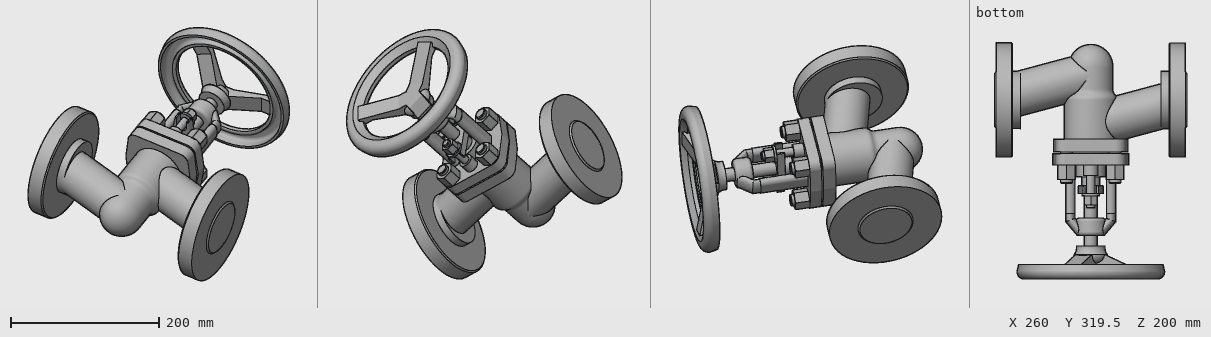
import cadquery as cq
import math


overall_height = 319.5

face_to_face = 260.0
flange_radius = 77.3
flange_thickness = 22.5
flange_edge_chamfer = 2.0
raised_face_height = 2.2
raised_face_base_radius = 38.0
raised_face_top_radius = 35.8
collar_radius = 39.0
collar_length = 11.0
pipe_radius = 30.0
pipe_tilt = math.radians(15)
pipe_offset = 34.5

body_radius = 36.0
body_bottom = 0
bowl_radius = pipe_radius
bowl_top = -13.7
bowl_bottom = -75.0
bowl_centre = bowl_bottom + bowl_radius

square_half = 47.0
square_corner = 13.0
body_flange_bottom = 53.0
body_flange_top = 70.3
body_flange_peak = 50.5
bonnet_flange_bottom = 72.5
bonnet_flange_top = 88.2
bonnet_flange_peak = 51.5
gasket_radius = body_radius

stud_pitch = 65.8
stud_radius = 8.0
stud_top = 112.8
flange_nut_flats = 24.0
flange_nut_height = 19.5
stud_end_chamfer = 1.3

box_radius = 20.0
box_top = 103.8
gland_radius = 12.5
gland_stud_z = 28.8
gland_stud_radius = 5.8
gland_stud_top = 146.3
gland_boss_radius = 9.5
gland_boss_top = 102.2
bridge_bottom = 115.5
bridge_top = 126.5
bridge_length = 78.5
bridge_width = 34.0
bridge_slot_width = 16.0
bridge_end_width = 20.5
bridge_edge_round = 1.5
washer_radius = 12.0
washer_thickness = 3.2
gland_nut_flats = 17.3
gland_nut_height = 12.5
nut_chamfer = 1.0

leg_x = 27.5
leg_thickness = 12.8
leg_width = 24.0
leg_straight_top = 153.5
leg_bend_height = 162.3
leg_bend_angle = math.radians(40)
bush_radius = 20.0
bush_bottom = 159.5
bush_top = 183.5
bush_round = 4.8

stem_radius = 9.0
hub_bottom = 197.0
hub_radius = 19.5
hub_flare_radius = 22.5
hub_flare_start = 200.3
hub_flare_end = 208.5
hub_top = 221.7
wheel_radius = 100.0
wheel_bottom = 222.0
wheel_top = overall_height - flange_radius
wheel_round = 10.2
lip_edge_radius = 97.8
lip_inner_radius = 94.3
channel_corner = 5.0
channel_depth = 12.8
ring_outer_radius = 78.5
ring_bottom = 227.0
ring_top = 234.2
ring_edge_round = 1.5
wheel_bore_radius = 73.5
spoke_count = 3
spoke_width = 25.5
spoke_bend_radius = 60.0
spoke_foot_radius = 19.5
spoke_foot_bottom = 209.0
spoke_foot_top = 223.3
spoke_bend_bottom = 228.0
spoke_end_top = 240.5


def cylinder_y(radius, y_start, y_end, x=0, z=0):
    """Cylinder parallel to Y between two heights."""
    start = cq.Vector(x, y_start, z)
    return cq.Workplane(cq.Solid.makeCylinder(radius, y_end - y_start, start, cq.Vector(0, 1, 0)))


def plane_y(y, x=0, z=0):
    """Workplane across Y; its local axes are X and Z, and extrude(-h) builds towards +Y."""
    return cq.Workplane("XZ", origin=(x, y, z))


def hex_nut(flats, y_start, height, x, z):
    """Hexagonal nut with two corners pointing along Z."""
    corners = flats / math.cos(math.pi / 6)
    nut = plane_y(y_start).polygon(6, corners).extrude(-height)
    nut = nut.intersect(cylinder_y(corners / 2, y_start, y_start + height).faces(">Y").chamfer(nut_chamfer))
    return nut.rotate((0, 0, 0), (0, 1, 0), 90).translate((x, 0, z))


def stud(radius, y_start, y_end, x, z):
    """Stud with a chamfered upper end."""
    return cylinder_y(radius, y_start, y_end, x, z).faces(">Y").chamfer(stud_end_chamfer)


def revolve_y(profile):
    """Turn a closed (radius, height) profile about the stem axis."""
    return profile.close().revolve(360, (0, 0, 0), (0, 1, 0))


def pipe_side(side):
    """Tilted pipe with collar, flange and raised face; side is -1 or +1 along X."""
    flange_face = face_to_face / 2 - raised_face_height
    flange_back = flange_face - flange_thickness
    end = (
        cq.Workplane("XY")
        .moveTo(flange_back - collar_length, 0)
        .lineTo(flange_back - collar_length, collar_radius)
        .lineTo(flange_back, collar_radius)
        .lineTo(flange_back, flange_radius - flange_edge_chamfer)
        .lineTo(flange_back + flange_edge_chamfer, flange_radius)
        .lineTo(flange_face, flange_radius)
        .lineTo(flange_face, raised_face_base_radius)
        .lineTo(face_to_face / 2, raised_face_top_radius)
        .lineTo(face_to_face / 2, 0)
        .close()
        .revolve(360, (0, 0, 0), (1, 0, 0))
    )
    pipe_reach = (flange_back + flange_thickness / 2) / math.cos(pipe_tilt)
    pipe_direction = cq.Vector(math.cos(pipe_tilt), -math.sin(pipe_tilt), 0)
    pipe = cq.Solid.makeCylinder(pipe_radius, pipe_reach, cq.Vector(0, pipe_offset, 0), pipe_direction)
    outlet = end.union(cq.Workplane(pipe))
    if side < 0:
        return outlet.rotate((0, 0, 0), (0, 0, 1), 180)
    return outlet


def valve_body():
    """Turned body: cylinder, S-shaped shoulder, neck and hemispherical bowl."""
    shoulder_drop = body_bottom - bowl_top
    shoulder_step = body_radius - bowl_radius
    shoulder_turn = 2 * math.atan(shoulder_step / shoulder_drop)
    shoulder_arc = shoulder_drop / (2 * math.sin(shoulder_turn))
    sag = shoulder_arc * (1 - math.cos(shoulder_turn / 2))
    rise = shoulder_arc * math.sin(shoulder_turn / 2)
    shoulder_middle = ((body_radius + bowl_radius) / 2, (body_bottom + bowl_top) / 2)
    bowl_45 = bowl_radius * math.sin(math.pi / 4)
    profile = (
        cq.Workplane("XY")
        .moveTo(0, body_flange_bottom)
        .lineTo(body_radius, body_flange_bottom)
        .lineTo(body_radius, body_bottom)
        .threePointArc((body_radius - sag, body_bottom - rise), shoulder_middle)
        .threePointArc((bowl_radius + sag, bowl_top + rise), (bowl_radius, bowl_top))
        .lineTo(bowl_radius, bowl_centre)
        .threePointArc((bowl_45, bowl_centre - bowl_45), (0, bowl_bottom))
    )
    return revolve_y(profile)


def square_flange(y_bottom, y_top, peak):
    """Square flange with rounded corners; the X sides rise to a shallow peak at mid-width."""
    height = y_top - y_bottom
    plate = plane_y(y_bottom).rect(2 * square_half, 2 * square_half).extrude(-height)
    plate = plate.edges("|Y").fillet(square_corner)
    shoulder_z = square_half - square_corner
    peaked = (
        plane_y(y_bottom)
        .polyline([
            (square_half, shoulder_z), (peak, 0), (square_half, -shoulder_z),
            (-square_half, -shoulder_z), (-peak, 0), (-square_half, shoulder_z),
        ])
        .close()
        .extrude(-height)
    )
    return plate.union(peaked)


def flange_bolting(x, z):
    """One stud through both square flanges with its nut."""
    bolt = stud(stud_radius, body_flange_bottom, stud_top, x, z)
    return bolt.union(hex_nut(flange_nut_flats, bonnet_flange_top, flange_nut_height, x, z))


def gland():
    """Gland bush, forked bridge tapering to its ends, and the two studs that press it down."""
    waist_x = bridge_width / 2
    end_x = bridge_end_width / 2
    end_z = bridge_length / 2
    bridge = (
        plane_y(bridge_bottom)
        .polyline([
            (waist_x, 0), (end_x, end_z), (-end_x, end_z),
            (-waist_x, 0), (-end_x, -end_z), (end_x, -end_z),
        ])
        .close()
        .extrude(bridge_bottom - bridge_top)
    )
    bridge = bridge.faces("<Y").edges().fillet(bridge_edge_round)
    for side in (-1, 1):
        slot = (
            plane_y(bridge_bottom, z=side * (gland_stud_z + bridge_length / 4))
            .slot2D(bridge_length / 2 + bridge_slot_width, bridge_slot_width, 90)
            .extrude(bridge_bottom - bridge_top)
        )
        bridge = bridge.cut(slot)
    parts = bridge.union(cylinder_y(gland_radius, bonnet_flange_top, bridge_top))
    washer_top = bridge_top + washer_thickness
    for z in (-gland_stud_z, gland_stud_z):
        parts = parts.union(cylinder_y(gland_boss_radius, bonnet_flange_top, gland_boss_top, z=z))
        parts = parts.union(stud(gland_stud_radius, bonnet_flange_top, gland_stud_top, 0, z))
        parts = parts.union(cylinder_y(washer_radius, bridge_top, washer_top, z=z))
        parts = parts.union(hex_nut(gland_nut_flats, washer_top, gland_nut_height, 0, z))
    return parts


def yoke_leg():
    """Leg on the +X side: a straight oblong bar, then a mitred elliptical bar leaning in to the bush."""
    bar_length = leg_straight_top - bonnet_flange_top
    bar = plane_y(bonnet_flange_top, x=leg_x).slot2D(leg_width, leg_thickness, 90).extrude(-bar_length)
    end_y = bush_top - leg_thickness / 2 * math.sin(leg_bend_angle)
    end_x = leg_x - (end_y - leg_bend_height) * math.tan(leg_bend_angle)
    path = (
        cq.Workplane("XY")
        .polyline([(leg_x, leg_straight_top), (leg_x, leg_bend_height), (end_x, end_y)])
    )
    section = plane_y(leg_straight_top, x=leg_x).ellipse(leg_thickness / 2, leg_width / 2)
    return bar.union(section.sweep(path, transition="right"))


def yoke():
    """Bush carried by two mirrored legs."""
    bush = cylinder_y(bush_radius, bush_bottom, bush_top).edges().fillet(bush_round)
    leg = yoke_leg()
    return bush.union(leg).union(leg.mirror("YZ"))


def wheel_hub():
    """Turned hub with a concave flare and a rounded top."""
    flare_width = hub_flare_radius - hub_radius
    flare_height = hub_flare_end - hub_flare_start
    flare_arc = (flare_width**2 + flare_height**2) / (2 * flare_width)
    flare_half_turn = math.atan(flare_width / flare_height)
    flare_middle = (
        hub_radius + flare_arc * (1 - math.cos(flare_half_turn)),
        hub_flare_start + flare_arc * math.sin(flare_half_turn),
    )
    top_round = hub_top - hub_flare_end
    top_round_45 = top_round * math.sin(math.pi / 4)
    top_flat_radius = hub_flare_radius - top_round
    profile = (
        cq.Workplane("XY")
        .moveTo(0, hub_bottom)
        .lineTo(hub_radius, hub_bottom)
        .lineTo(hub_radius, hub_flare_start)
        .threePointArc(flare_middle, (hub_flare_radius, hub_flare_end))
        .threePointArc((top_flat_radius + top_round_45, hub_flare_end + top_round_45),
                       (top_flat_radius, hub_top))
        .lineTo(0, hub_top)
    )
    return revolve_y(profile)


def wheel_rim():
    """Dished rim: rounded outer lip, channel on the underside and an inner ring."""
    arc_inset = 1 - math.sin(math.pi / 4)
    lip_inset = wheel_round * arc_inset
    channel_inset = channel_corner * arc_inset
    bore_inset = ring_edge_round * arc_inset
    channel_top = wheel_bottom + channel_depth
    profile = (
        cq.Workplane("XY")
        .moveTo(lip_inner_radius, wheel_bottom)
        .lineTo(lip_edge_radius, wheel_bottom)
        .lineTo(wheel_radius, wheel_top - wheel_round)
        .threePointArc((wheel_radius - lip_inset, wheel_top - lip_inset),
                       (wheel_radius - wheel_round, wheel_top))
        .lineTo(ring_outer_radius + channel_corner, wheel_top)
        .lineTo(wheel_bore_radius, ring_top)
        .lineTo(wheel_bore_radius, ring_bottom + ring_edge_round)
        .threePointArc((wheel_bore_radius + bore_inset, ring_bottom + bore_inset),
                       (wheel_bore_radius + ring_edge_round, ring_bottom))
        .lineTo(ring_outer_radius, ring_bottom)
        .lineTo(ring_outer_radius, channel_top - channel_corner)
        .threePointArc((ring_outer_radius + channel_inset, channel_top - channel_inset),
                       (ring_outer_radius + channel_corner, channel_top))
        .lineTo(lip_inner_radius - channel_corner, channel_top)
        .threePointArc((lip_inner_radius - channel_inset, channel_top - channel_inset),
                       (lip_inner_radius, channel_top - channel_corner))
    )
    return revolve_y(profile)


def wheel_spoke():
    """Tapered spoke along +X: a ramp from the hub, then level into the rim."""
    spoke_end = (wheel_bore_radius + ring_outer_radius) / 2
    return (
        cq.Workplane("XY")
        .moveTo(0, spoke_foot_bottom)
        .lineTo(spoke_foot_radius, spoke_foot_bottom)
        .lineTo(spoke_bend_radius, spoke_bend_bottom)
        .lineTo(spoke_end, spoke_bend_bottom)
        .lineTo(spoke_end, spoke_end_top)
        .lineTo(spoke_foot_radius, spoke_foot_top)
        .lineTo(0, spoke_foot_top)
        .close()
        .extrude(spoke_width / 2, both=True)
    )


def handwheel():
    """Hub, rim and evenly spaced spokes."""
    wheel = wheel_hub().union(wheel_rim())
    for index in range(spoke_count):
        angle = 360 / spoke_count * index
        wheel = wheel.union(wheel_spoke().rotate((0, 0, 0), (0, 1, 0), angle))
    return wheel


result = valve_body().union(pipe_side(-1)).union(pipe_side(1))
result = result.union(square_flange(body_flange_bottom, body_flange_top, body_flange_peak))
result = result.union(cylinder_y(gasket_radius, body_flange_top, bonnet_flange_bottom))
result = result.union(square_flange(bonnet_flange_bottom, bonnet_flange_top, bonnet_flange_peak))
result = result.union(cylinder_y(box_radius, bonnet_flange_top, box_top))
for bolt_x in (-stud_pitch / 2, stud_pitch / 2):
    for bolt_z in (-stud_pitch / 2, stud_pitch / 2):
        result = result.union(flange_bolting(bolt_x, bolt_z))
result = result.union(gland()).union(yoke())
result = result.union(cylinder_y(stem_radius, bonnet_flange_top, hub_top)).union(handwheel())